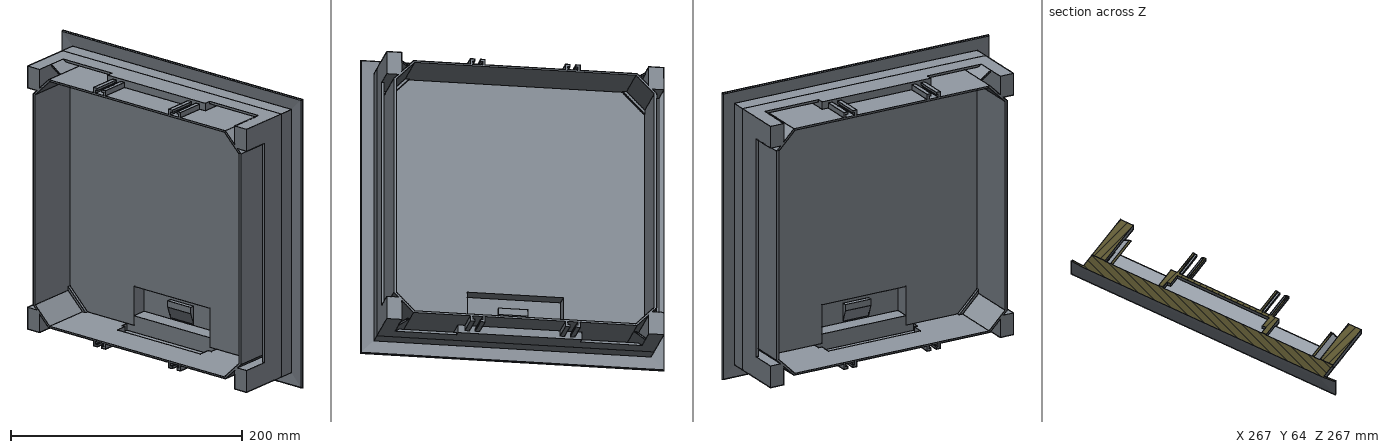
import cadquery as cq
depth = 64.0
seam_y = 47.8

housing_half = 121.7
outer_wall = 2.1
wall_inner = housing_half - outer_wall
tray_inner = 113.2
side_wall = 2.5
end_wall = 1.5
side_outer = tray_inner + side_wall
end_outer = tray_inner + end_wall
corner_outer = 213.0
corner_inner = 210.3
ledge_corner = 206.9
ledge_height = 2.7

end_window_half = 108.5
end_window_depth = 32.5
side_window_half = 101.5
side_window_depth = 24.5
shelf_half = 54.5
shelf_front = 26.5

web_front = 16.3
web_width = 2.5

rail_outer_offsets = (35.2, 48.3)
rail_width = 4.0
rail_thick = 2.1

slot_front = 30.0
slot_half = 46.2
slot_step_half = 49.6
slot_step_front = 40.8

flange_half = 133.5
lip_half = 133.0
lip_front = 61.0
rim_y = 63.0
root_y = 62.0
back_half = 120.0

recess_half = 42.2
recess_top = -77.1
recess_floor = 62.0
bar_top = -104.4
wedge_half = 12.8
wedge_top = -86.5
wedge_knee = -92.4
wedge_bottom = -103.3
wedge_height = 4.0


def block(x0, x1, y0, y1, z0, z1):
    """Axis-aligned box between two opposite corners."""
    return cq.Workplane("XY").box(x1 - x0, y1 - y0, z1 - z0, centered=False).translate((x0, y0, z0))


def square_block(half, y0, y1):
    """Square prism centred on the Y axis."""
    return block(-half, half, y0, y1, -half, half)


def prism(points, y0, y1):
    """Outline in (X, Z) extruded from y0 to y1."""
    return cq.Workplane("XZ", origin=(0, y0, 0)).polyline(points).close().extrude(y0 - y1)


def octagon(half_x, half_z, corner, y0, y1):
    """Rectangle with 45 degree corners on the lines |X| + |Z| = corner."""
    cut_x = corner - half_z
    cut_z = corner - half_x
    points = [
        (half_x, -cut_z), (half_x, cut_z), (cut_x, half_z), (-cut_x, half_z),
        (-half_x, cut_z), (-half_x, -cut_z), (-cut_x, -half_z), (cut_x, -half_z),
    ]
    return prism(points, y0, y1)


def square_frustum(half0, y0, half1, y1):
    """Square-based frustum along Y."""
    return (
        cq.Workplane("XZ", origin=(0, y0, 0))
        .rect(2 * half0, 2 * half0)
        .workplane(offset=y0 - y1)
        .rect(2 * half1, 2 * half1)
        .loft(ruled=True)
    )


def both_ends(shape):
    """The shape together with its mirror image at the opposite Z end."""
    return shape.union(shape.mirror("XY"))


def make_outer_wall():
    wall = square_block(housing_half, 0, seam_y).cut(square_block(wall_inner, 0, seam_y))
    corner_size = housing_half - end_window_half
    corner_height = housing_half - side_window_half
    for sx in (-1, 1):
        for sz in (-1, 1):
            post = cq.Workplane("XY").box(corner_size, seam_y, corner_height).translate((
                sx * (housing_half - corner_size / 2), seam_y / 2,
                sz * (housing_half - corner_height / 2)))
            wall = wall.union(post)
    wall = wall.cut(block(-end_window_half, end_window_half, 0, end_window_depth,
                          -housing_half, housing_half))
    return wall.cut(block(-housing_half, housing_half, 0, side_window_depth,
                          -side_window_half, side_window_half))


def make_shelf():
    return both_ends(block(-shelf_half, shelf_half, shelf_front, seam_y, tray_inner, housing_half))


def make_web():
    """Slanted web from the edge of the outer wall opening to the corner of the tray."""
    tray_x = corner_outer - end_outer
    points = [
        (tray_x, end_outer), (tray_x + web_width, end_outer),
        (end_window_half + web_width, housing_half), (end_window_half, housing_half),
    ]
    web = prism(points, web_front, seam_y)
    return both_ends(web.union(web.mirror("YZ")))


def make_rail(outer_x, toward):
    """Hooked rail whose stem stands at outer_x and whose lip points along `toward` in X."""
    stem_x = outer_x + toward * rail_thick
    tip_x = outer_x + toward * rail_width
    hook_z = wall_inner - rail_thick
    points = [
        (outer_x, end_outer), (outer_x, wall_inner), (tip_x, wall_inner),
        (tip_x, hook_z), (stem_x, hook_z), (stem_x, end_outer),
    ]
    return prism(points, 0, shelf_front)


def make_rails():
    near, far = rail_outer_offsets
    pair = make_rail(near, 1).union(make_rail(far, -1))
    return both_ends(pair.union(pair.mirror("YZ")))


def make_latch_slot():
    slot = block(-slot_half, slot_half, slot_front, seam_y, -wall_inner, -tray_inner)
    step = block(-slot_step_half, slot_step_half, slot_step_front, seam_y, -wall_inner, -tray_inner)
    return slot.union(step)


def make_housing():
    tray = octagon(side_outer, end_outer, corner_outer, 0, seam_y)
    interior = octagon(tray_inner, tray_inner, corner_inner, 0, seam_y - ledge_height)
    interior = interior.union(octagon(tray_inner, tray_inner, ledge_corner, 0, seam_y))
    body = make_outer_wall().union(tray).union(make_shelf()).union(make_web()).union(make_rails())
    return body.cut(interior).cut(make_latch_slot())


def make_frame():
    rim = square_frustum(lip_half, lip_front, flange_half, rim_y)
    back = square_frustum(flange_half, rim_y, back_half, depth)
    hollow = square_frustum(lip_half, lip_front, housing_half, root_y)
    collar = square_block(housing_half, seam_y, rim_y)
    opening = octagon(tray_inner, tray_inner, ledge_corner, seam_y, depth)
    latch_bar = block(-recess_half, recess_half, seam_y, recess_floor, -tray_inner, bar_top)
    return rim.union(back).cut(hollow).union(collar).cut(opening).union(latch_bar)


def make_lid():
    plate = octagon(tray_inner, tray_inner, ledge_corner, seam_y, depth)
    recess = block(-recess_half, recess_half, seam_y, recess_floor, -tray_inner, recess_top)
    wedge_face = recess_floor - wedge_height
    wedge = (
        cq.Workplane("YZ", origin=(-wedge_half, 0, 0))
        .polyline([
            (recess_floor, wedge_top), (wedge_face, wedge_top),
            (wedge_face, wedge_knee), (recess_floor, wedge_bottom),
        ])
        .close()
        .extrude(2 * wedge_half)
    )
    return plate.cut(recess).union(wedge)


housing = make_housing()
frame = make_frame()
lid = make_lid()

result = cq.Compound.makeCompound([housing.val(), frame.val(), lid.val()])